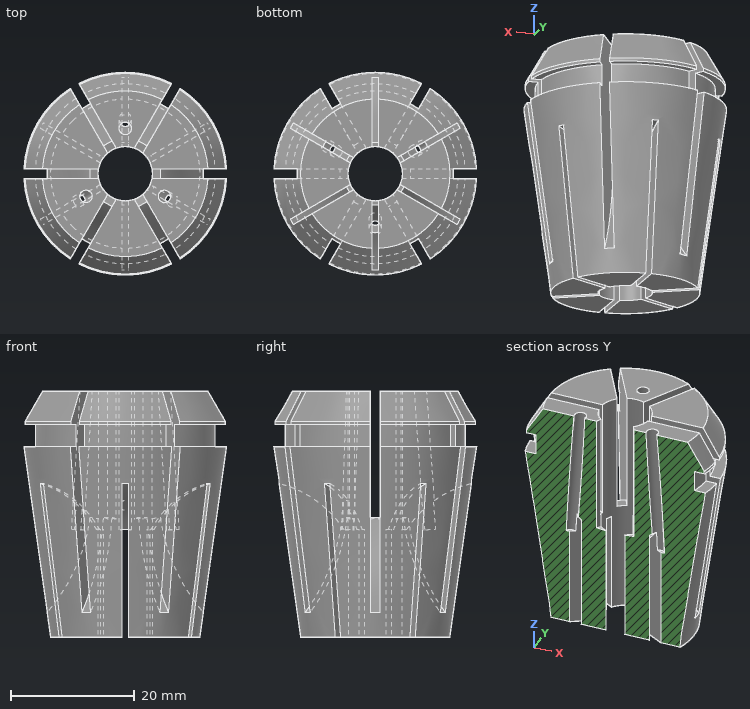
import cadquery as cq
import math


total_height = 40.0
taper_large_radius = 16.5
taper_height = 31.0
taper_half_angle = 8.0
groove_radius = 14.65
groove_top = 34.55
flange_radius = 16.3
flange_top = 35.1
nose_half_angle = 30.0
bore_radius = 4.4

nose_slot_count = 6
nose_slot_width = 1.6
nose_slot_outer_end = 4.0
nose_slot_peak_radius = 5.7
nose_slot_peak_height = 19.5
nose_slot_cutter_radius = 30.0
nose_slot_inner_slope = 10.0

tail_slot_count = 6
tail_slot_width = 1.0
tail_slot_outer_end = 25.0
tail_slot_edge_radius = 5.1
tail_slot_inner_end = 17.5
tail_slot_cutter_radius = 17.5

coolant_hole_count = 3
coolant_hole_diameter = 2.0
coolant_hole_top_radius = 7.35
coolant_hole_tilt = 4.0
coolant_hole_bottom = tail_slot_inner_end

clearance = 2.0
slot_reach = taper_large_radius + clearance


def taper_radius(height):
    """Outer radius of the tapered body at a height above its small end."""
    return taper_large_radius - (taper_height - height) * math.tan(math.radians(taper_half_angle))


def arc_midpoint(start, end, radius):
    """Middle of the minor arc from start to end that bulges to the right of its chord."""
    chord_x = end[0] - start[0]
    chord_z = end[1] - start[1]
    chord = math.hypot(chord_x, chord_z)
    bulge = radius - math.sqrt(radius**2 - (chord / 2) ** 2)
    return (
        (start[0] + end[0]) / 2 + bulge * chord_z / chord,
        (start[1] + end[1]) / 2 - bulge * chord_x / chord,
    )


def make_body():
    """Revolved taper, groove, flange and conical nose around the bore."""
    nose_rise = total_height - flange_top
    nose_radius = flange_radius - nose_rise * math.tan(math.radians(nose_half_angle))
    return (
        cq.Workplane("XZ")
        .moveTo(bore_radius, 0)
        .lineTo(taper_radius(0), 0)
        .lineTo(taper_large_radius, taper_height)
        .lineTo(groove_radius, taper_height)
        .lineTo(groove_radius, groove_top)
        .lineTo(flange_radius, groove_top)
        .lineTo(flange_radius, flange_top)
        .lineTo(nose_radius, total_height)
        .lineTo(bore_radius, total_height)
        .close()
        .revolve(360, (0, 0, 0), (0, 1, 0))
    )


def make_nose_slot():
    """Slot along +X, open at the top, whose floor climbs in an arc to a peak beside the bore."""
    outer = (taper_radius(nose_slot_outer_end), nose_slot_outer_end)
    peak = (nose_slot_peak_radius, nose_slot_peak_height)
    floor_drop = nose_slot_peak_radius * math.tan(math.radians(nose_slot_inner_slope))
    top = total_height + clearance
    return (
        cq.Workplane("XZ")
        .moveTo(0, nose_slot_peak_height - floor_drop)
        .lineTo(*peak)
        .threePointArc(arc_midpoint(peak, outer, nose_slot_cutter_radius), outer)
        .lineTo(slot_reach, nose_slot_outer_end)
        .lineTo(slot_reach, top)
        .lineTo(0, top)
        .close()
        .extrude(nose_slot_width / 2, both=True)
    )


def make_tail_slot():
    """Slot along +X, open at the bottom, whose end falls in an arc and then runs level to the bore."""
    outer = (taper_radius(tail_slot_outer_end), tail_slot_outer_end)
    inner = (tail_slot_edge_radius, tail_slot_inner_end)
    return (
        cq.Workplane("XZ")
        .moveTo(0, -clearance)
        .lineTo(slot_reach, -clearance)
        .lineTo(slot_reach, tail_slot_outer_end)
        .lineTo(*outer)
        .threePointArc(arc_midpoint(outer, inner, tail_slot_cutter_radius), inner)
        .lineTo(0, tail_slot_inner_end)
        .close()
        .extrude(tail_slot_width / 2, both=True)
    )


def make_coolant_hole():
    """Leaning drill through the nose face on the +X side."""
    tilt = math.radians(coolant_hole_tilt)
    direction = cq.Vector(math.sin(tilt), 0, -math.cos(tilt))
    entry = cq.Vector(coolant_hole_top_radius, 0, total_height)
    start = entry - direction * clearance
    length = clearance + (total_height - coolant_hole_bottom) / math.cos(tilt)
    drill = cq.Solid.makeCylinder(coolant_hole_diameter / 2, length, start, direction)
    return cq.Workplane(obj=drill)


def cut_around(body, tool, count, first_angle):
    """Cut evenly spaced copies of a tool around the Z axis."""
    for index in range(count):
        angle = first_angle + index * 360 / count
        body = body.cut(tool.rotate((0, 0, 0), (0, 0, 1), angle))
    return body


half_pitch = 180 / nose_slot_count
first_hole_angle = 90

result = make_body()
result = cut_around(result, make_nose_slot(), nose_slot_count, 0)
result = cut_around(result, make_tail_slot(), tail_slot_count, half_pitch)
result = cut_around(result, make_coolant_hole(), coolant_hole_count, first_hole_angle)
result = cq.Workplane(obj=result.val())